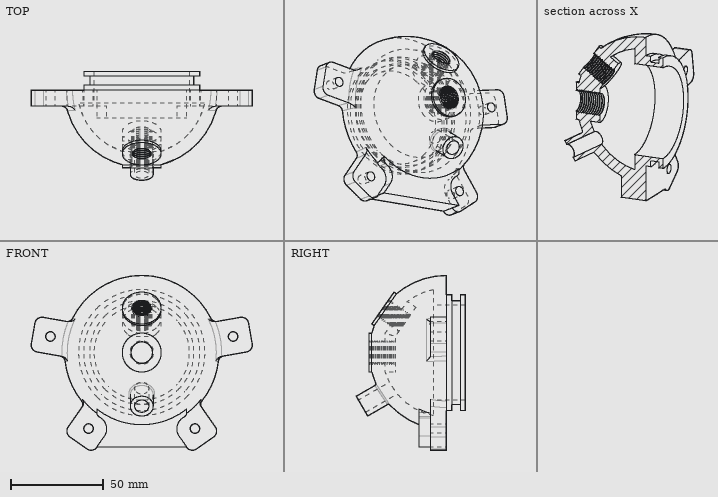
import cadquery as cq
import math

WIDTH = 120.0
DOME_RADIUS = 41.9
CAVITY_RADIUS = 69.8 / 2
WALL = DOME_RADIUS - CAVITY_RADIUS
TOLERANCE = 0.01

NECK_LENGTH = 10.2
NECK_BORE_DIAMETER = 51.6
FLANGE_DIAMETER = 63.0
GROOVE_DIAMETER = 56.4
GROOVE_START = 2.9
GROOVE_WIDTH = 4.7

LUG_WIDTH = 19.2
LUG_THICKNESS = 8.8
LUG_CORNER_RADIUS = 4.0
LUG_ROOT_FILLET = 3.0
LUG_HOLE_DIAMETER = 5.0
LUG_HOLE_CIRCLE_RADIUS = 50.3
UPPER_TILT = 10.0
UPPER_LUG_ANGLES = (UPPER_TILT, 180 - UPPER_TILT)
LOWER_TILT = 55.0
LOWER_LUG_ANGLES = (180 + LOWER_TILT, 360 - LOWER_TILT)

corner_across = LUG_WIDTH / 2 - LUG_CORNER_RADIUS
corner_out = (
    WIDTH / 2 - LUG_CORNER_RADIUS - corner_across * math.sin(math.radians(UPPER_TILT))
) / math.cos(math.radians(UPPER_TILT))
LUG_END = corner_out + LUG_CORNER_RADIUS

FOOT_WIDTH = 48.7
FOOT_THICKNESS = 15.0
FOOT_BOTTOM = -51.2
FOOT_CORNER_RADIUS = 2.5
LUG_POCKET_START = 41.8
LUG_POCKET_RADIUS = 7.0
LUG_POCKET_WIDTH = 18.7

PORT_BOSS_DIAMETER = 21.1
PORT_FACE_DISTANCE = 42.1
PORT_DEPTH = 14.4
THREAD_GROOVES = 11
THREAD_PITCH = PORT_DEPTH / THREAD_GROOVES
PORTS = {0.0: (11.5, 12.7), 35.0: (9.8, 11.2)}

SPIGOT_DIAMETER = 12.5
SPIGOT_BORE_DIAMETER = 7.7
SPIGOT_FILLET = 1.0
SPIGOT_SLOPE = 30.0
SPIGOT_TIP = (0, -45.8, -29.0)
SPIGOT_LENGTH = 19.2
SPIGOT_BORE_LENGTH = 24.0
SPIGOT_ROOT = (0, -37.5, -17.4)


def cylinder_y(diameter, y_start, length):
    """Cylinder around the Y axis running from y_start towards +Y."""
    return cq.Workplane("XZ", origin=(0, y_start, 0)).circle(diameter / 2).extrude(-length)


def slab(x_start, x_end, z_start, z_end, thickness):
    """Block that stands on the rim plane and reaches towards -Y."""
    size = (x_end - x_start, thickness, z_end - z_start)
    return cq.Workplane().box(*size, centered=False).translate((x_start, -thickness, z_start))


def turn(shape, angle):
    """Turn a shape about the Y axis from +X towards +Z."""
    return shape.rotate((0, 0, 0), (0, 1, 0), -angle)


def front_half(radius):
    """Half ball on the -Y side of the rim plane."""
    box = slab(-radius, radius, -radius, radius, radius)
    return cq.Workplane().sphere(radius).intersect(box)


def lug(angle):
    """Lug with rounded outer corners, rooted inside the dome."""
    half = LUG_WIDTH / 2
    blank = slab(CAVITY_RADIUS, LUG_END, -half, half, LUG_THICKNESS)
    return turn(blank.edges("|Y and >X").fillet(LUG_CORNER_RADIUS), angle)


def lug_hole(angle):
    """Through-hole of a lug."""
    hole = cylinder_y(LUG_HOLE_DIAMETER, -LUG_THICKNESS, LUG_THICKNESS)
    return turn(hole.translate((LUG_HOLE_CIRCLE_RADIUS, 0, 0)), angle)


def root_edges(body, angle, with_front):
    """Edges where a lug meets the dome: both sides and, if wanted, the front."""
    picked = []
    a = math.radians(angle)
    for edge in body.edges().vals():
        mid = edge.positionAt(0.5)
        out = mid.x * math.cos(a) + mid.z * math.sin(a)
        across = -mid.x * math.sin(a) + mid.z * math.cos(a)
        on_dome = abs(mid.Length - DOME_RADIUS) < TOLERANCE
        on_side = abs(abs(across) - LUG_WIDTH / 2) < TOLERANCE
        on_front = abs(mid.y + LUG_THICKNESS) < TOLERANCE and abs(across) < LUG_WIDTH / 2
        inside = -LUG_THICKNESS - TOLERANCE < mid.y < -TOLERANCE
        if out > 0 and on_dome and inside and (on_side or (with_front and on_front)):
            picked.append(edge)
    return body.newObject(picked)


def foot():
    """Plate between the lower lugs, cleared in front of each lug."""
    half = FOOT_WIDTH / 2
    pocket_half = LUG_POCKET_WIDTH / 2
    plate = slab(-half, half, FOOT_BOTTOM, -CAVITY_RADIUS / 2, FOOT_THICKNESS)
    for angle in LOWER_LUG_ANGLES:
        pocket = slab(LUG_POCKET_START, WIDTH, -pocket_half, pocket_half, FOOT_THICKNESS)
        pocket = pocket.edges("|Y and <X").fillet(LUG_POCKET_RADIUS)
        plate = plate.cut(turn(pocket, angle))
    a = math.radians(LOWER_LUG_ANGLES[1])
    corner_z = (LUG_POCKET_START - half * math.cos(a)) / math.sin(a)
    for side in (-half, half):
        corner = cq.selectors.NearestToPointSelector((side, -FOOT_THICKNESS / 2, corner_z))
        plate = plate.edges("|Y").edges(corner).fillet(FOOT_CORNER_RADIUS)
    return plate


def port_plane(elevation):
    """Plane on a port face whose normal points into the dome."""
    a = math.radians(elevation)
    inward = cq.Vector(0, math.cos(a), -math.sin(a))
    return cq.Plane(inward * -PORT_FACE_DISTANCE, (1, 0, 0), inward)


def port_boss(elevation):
    """Solid boss that reaches from the port face into the dome."""
    return cq.Workplane(port_plane(elevation)).circle(PORT_BOSS_DIAMETER / 2).extrude(PORT_DEPTH)


def port_thread(elevation, minor, major):
    """Cutting tool for a threaded hole: a round bar with a V ridge in every pitch."""
    points = [(0, 0), (minor / 2, 0)]
    for groove in range(THREAD_GROOVES):
        points.append((major / 2, (groove + 0.5) * THREAD_PITCH))
        points.append((minor / 2, (groove + 1) * THREAD_PITCH))
    points.append((0, PORT_DEPTH))
    tool = cq.Workplane("XZ").polyline(points).close().revolve(360, (0, 0), (0, 1))
    return cq.Workplane(tool.val().moved(cq.Location(port_plane(elevation))))


def spigot(diameter, length):
    """Cylinder on the spigot axis, running inwards from the spigot tip."""
    a = math.radians(SPIGOT_SLOPE)
    plane = cq.Plane(SPIGOT_TIP, (1, 0, 0), (0, -math.cos(a), -math.sin(a)))
    return cq.Workplane(plane).circle(diameter / 2).extrude(-length)


def cavity():
    """Hollow of the dome, closed at the back by a wall around the neck bore."""
    back_wall = slab(-CAVITY_RADIUS, CAVITY_RADIUS, -CAVITY_RADIUS, CAVITY_RADIUS, WALL)
    return front_half(CAVITY_RADIUS).cut(back_wall)


body = front_half(DOME_RADIUS)
for angle in UPPER_LUG_ANGLES + LOWER_LUG_ANGLES:
    body = body.union(lug(angle))
for angle in UPPER_LUG_ANGLES:
    body = root_edges(body, angle, True).fillet(LUG_ROOT_FILLET)
for angle in LOWER_LUG_ANGLES:
    body = root_edges(body, angle, False).fillet(LUG_ROOT_FILLET)
for angle in UPPER_LUG_ANGLES + LOWER_LUG_ANGLES:
    body = body.cut(lug_hole(angle))
body = body.union(foot())

body = body.union(spigot(SPIGOT_DIAMETER, SPIGOT_LENGTH))
spigot_root = cq.selectors.NearestToPointSelector(SPIGOT_ROOT)
body = body.edges(spigot_root).fillet(SPIGOT_FILLET)

neck = cylinder_y(FLANGE_DIAMETER, -WALL, WALL + NECK_LENGTH)
groove = cylinder_y(FLANGE_DIAMETER, GROOVE_START, GROOVE_WIDTH)
groove = groove.cut(cylinder_y(GROOVE_DIAMETER, GROOVE_START, GROOVE_WIDTH))
body = body.union(neck.cut(groove))

body = body.cut(cavity())
body = body.cut(cylinder_y(NECK_BORE_DIAMETER, -WALL, WALL + NECK_LENGTH))
for elevation in PORTS:
    body = body.union(port_boss(elevation))

for elevation, (minor, major) in PORTS.items():
    body = body.cut(port_thread(elevation, minor, major))
result = body.cut(spigot(SPIGOT_BORE_DIAMETER, SPIGOT_BORE_LENGTH))